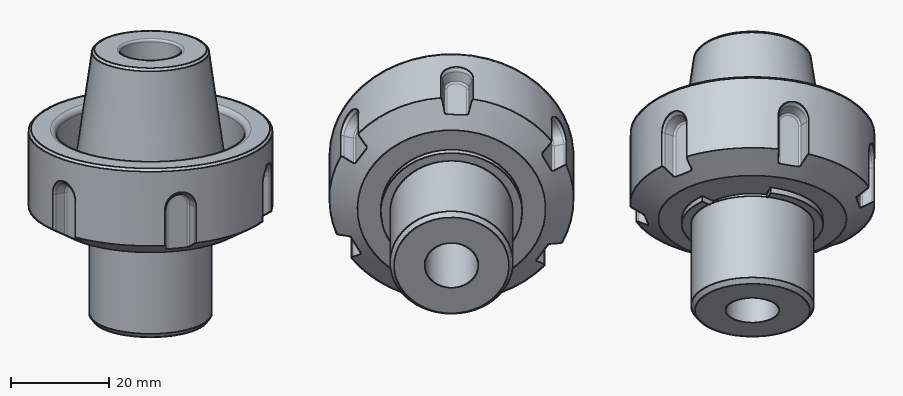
import cadquery as cq
import math

TOTAL_HEIGHT = 58.0
RING_BOTTOM = 19.65
NUT_BOTTOM = 20.95
NUT_EDGE = 24.35
NUT_TOP = 40.9

SHANK_RADIUS = 25.0 / 2
SHANK_CHAMFER_WIDTH = 0.8
SHANK_CHAMFER_HEIGHT = 1.05

NECK_RADIUS = 22.4 / 2
RING_RADIUS = 14.4
GAP_START_ANGLE = -65.0
GAP_ANGLE = 60.0

NUT_RADIUS = 49.7 / 2
NUT_BOTTOM_RADIUS = 19.15
NUT_TOP_CHAMFER = 0.5
RECESS_RADIUS = 38.4 / 2
RECESS_LIP_RADIUS = 1.2
RELIEF_RADIUS = 40.5 / 2
RELIEF_CONE_TOP = 29.3
RELIEF_CONE_BOTTOM = 26.85
RECESS_FLOOR = 24.2
SEAT_RADIUS = 35.8 / 2
SEAT_CHAMFER = 0.3
SEAT_HEIGHT = 0.85

CONE_BASE_RADIUS = 15.9
COLLAR_RADIUS = 16.4
CONE_TIP_RADIUS = 11.95
CONE_TIP_CHAMFER = 0.5
CONE_ANGLE = 8.0

BORE_RADIUS = 10.9 / 2
COUNTERBORE_RADIUS = 12.5 / 2
COUNTERBORE_DEPTH = 4.65
BORE_LIP_RADIUS = 0.5

SLOT_COUNT = 6
SLOT_ARC_HEIGHT = 32.0
SLOT_FLOOR_DISTANCE = 21.85
SLOT_FLOOR_HALF_WIDTH = 2.4
SLOT_WALL_ANGLE = 15.0
SLOT_FLOOR_FILLET = 0.45
SLOT_EDGE_DISTANCE = 24.1
SLOT_EDGE_RADIUS = 1.0
SLOT_FLARE_ANGLE = 60.0
SLOT_CUT_MARGIN = 0.6


def make_body():
    """Shank, neck, nut and cone as one turned profile of (radius, height) points."""
    cone_top = TOTAL_HEIGHT - CONE_TIP_CHAMFER
    cone_base = cone_top - (CONE_BASE_RADIUS - CONE_TIP_RADIUS) / math.tan(math.radians(CONE_ANGLE))
    seat_top = RECESS_FLOOR + SEAT_HEIGHT
    bore_step = COUNTERBORE_RADIUS - BORE_RADIUS
    counterbore_floor = TOTAL_HEIGHT - COUNTERBORE_DEPTH
    lip_bend = 1 - math.sqrt(0.5)
    profile = (
        cq.Workplane("XZ")
        .moveTo(BORE_RADIUS, 0)
        .lineTo(SHANK_RADIUS - SHANK_CHAMFER_WIDTH, 0)
        .lineTo(SHANK_RADIUS, SHANK_CHAMFER_HEIGHT)
        .lineTo(SHANK_RADIUS, RING_BOTTOM)
        .lineTo(NECK_RADIUS, RING_BOTTOM)
        .lineTo(NECK_RADIUS, NUT_BOTTOM)
        .lineTo(NUT_BOTTOM_RADIUS, NUT_BOTTOM)
        .lineTo(NUT_RADIUS, NUT_EDGE)
        .lineTo(NUT_RADIUS, NUT_TOP - NUT_TOP_CHAMFER)
        .lineTo(NUT_RADIUS - NUT_TOP_CHAMFER, NUT_TOP)
        .lineTo(RECESS_RADIUS + RECESS_LIP_RADIUS, NUT_TOP)
        .threePointArc(
            (RECESS_RADIUS + lip_bend * RECESS_LIP_RADIUS, NUT_TOP - lip_bend * RECESS_LIP_RADIUS),
            (RECESS_RADIUS, NUT_TOP - RECESS_LIP_RADIUS),
        )
        .lineTo(RECESS_RADIUS, RELIEF_CONE_TOP)
        .lineTo(RELIEF_RADIUS, RELIEF_CONE_BOTTOM)
        .lineTo(RELIEF_RADIUS, RECESS_FLOOR)
        .lineTo(SEAT_RADIUS, RECESS_FLOOR)
        .lineTo(SEAT_RADIUS, seat_top - SEAT_CHAMFER)
        .lineTo(SEAT_RADIUS - SEAT_CHAMFER, seat_top)
        .lineTo(COLLAR_RADIUS, seat_top)
        .lineTo(COLLAR_RADIUS, cone_base)
        .lineTo(CONE_BASE_RADIUS, cone_base)
        .lineTo(CONE_TIP_RADIUS, cone_top)
        .lineTo(CONE_TIP_RADIUS - CONE_TIP_CHAMFER, TOTAL_HEIGHT)
        .lineTo(COUNTERBORE_RADIUS + BORE_LIP_RADIUS, TOTAL_HEIGHT)
        .threePointArc(
            (COUNTERBORE_RADIUS + lip_bend * BORE_LIP_RADIUS, TOTAL_HEIGHT - lip_bend * BORE_LIP_RADIUS),
            (COUNTERBORE_RADIUS, TOTAL_HEIGHT - BORE_LIP_RADIUS),
        )
        .lineTo(COUNTERBORE_RADIUS, counterbore_floor)
        .lineTo(BORE_RADIUS, counterbore_floor - bore_step)
        .close()
    )
    return profile.revolve(360, (0, 0, 0), (0, 1, 0))


def make_snap_ring():
    """Flat ring filling the neck groove, except for its gap."""
    section = cq.Workplane("XZ").moveTo(NECK_RADIUS, RING_BOTTOM).lineTo(RING_RADIUS, RING_BOTTOM)
    section = section.lineTo(RING_RADIUS, NUT_BOTTOM).lineTo(NECK_RADIUS, NUT_BOTTOM).close()
    ring = section.revolve(360 - GAP_ANGLE, (0, 0, 0), (0, -1, 0))
    return ring.rotate((0, 0, 0), (0, 0, 1), GAP_START_ANGLE)


def make_slot_cutter():
    """Round-topped slot facing +X, with sloping walls, a filleted floor and rounded outer edges."""
    wall = math.radians(SLOT_WALL_ANGLE)
    flare = math.radians(SLOT_FLARE_ANGLE)
    middle = (wall + flare) / 2

    fillet_length = SLOT_FLOOR_FILLET * math.tan((math.pi / 2 - wall) / 2)
    fillet_start_width = SLOT_FLOOR_HALF_WIDTH - fillet_length
    fillet_middle = (math.pi / 2 - wall) / 2
    fillet_mid = (
        SLOT_FLOOR_DISTANCE + SLOT_FLOOR_FILLET * (1 - math.cos(fillet_middle)),
        fillet_start_width + SLOT_FLOOR_FILLET * math.sin(fillet_middle),
    )
    fillet_end = (
        SLOT_FLOOR_DISTANCE + fillet_length * math.cos(wall),
        SLOT_FLOOR_HALF_WIDTH + fillet_length * math.sin(wall),
    )

    wall_end_width = SLOT_FLOOR_HALF_WIDTH + (SLOT_EDGE_DISTANCE - SLOT_FLOOR_DISTANCE) * math.tan(wall)
    center_distance = SLOT_EDGE_DISTANCE - SLOT_EDGE_RADIUS * math.sin(wall)
    center_width = wall_end_width + SLOT_EDGE_RADIUS * math.cos(wall)

    def edge_point(angle):
        return (
            center_distance + SLOT_EDGE_RADIUS * math.sin(angle),
            center_width - SLOT_EDGE_RADIUS * math.cos(angle),
        )

    flare_start = edge_point(flare)
    outer_distance = NUT_RADIUS + SLOT_CUT_MARGIN
    outer_width = flare_start[1] + (outer_distance - flare_start[0]) * math.tan(flare)

    half_section = (
        cq.Workplane("XY", origin=(0, 0, SLOT_ARC_HEIGHT))
        .moveTo(SLOT_FLOOR_DISTANCE, 0)
        .lineTo(SLOT_FLOOR_DISTANCE, fillet_start_width)
        .threePointArc(fillet_mid, fillet_end)
        .lineTo(SLOT_EDGE_DISTANCE, wall_end_width)
        .threePointArc(edge_point(middle), flare_start)
        .lineTo(outer_distance, outer_width)
        .lineTo(outer_distance, 0)
        .close()
    )
    half_channel = half_section.extrude(NUT_BOTTOM - SLOT_CUT_MARGIN - SLOT_ARC_HEIGHT)
    channel = half_channel.union(half_channel.mirror("XZ"))
    round_top = half_section.toPending().revolve(180, (0, 0, 0), (1, 0, 0))
    return channel.union(round_top)


result = make_body().union(make_snap_ring())
slot_cutter = make_slot_cutter()
for slot_index in range(SLOT_COUNT):
    slot_angle = slot_index * 360 / SLOT_COUNT
    result = result.cut(slot_cutter.rotate((0, 0, 0), (0, 0, 1), slot_angle))